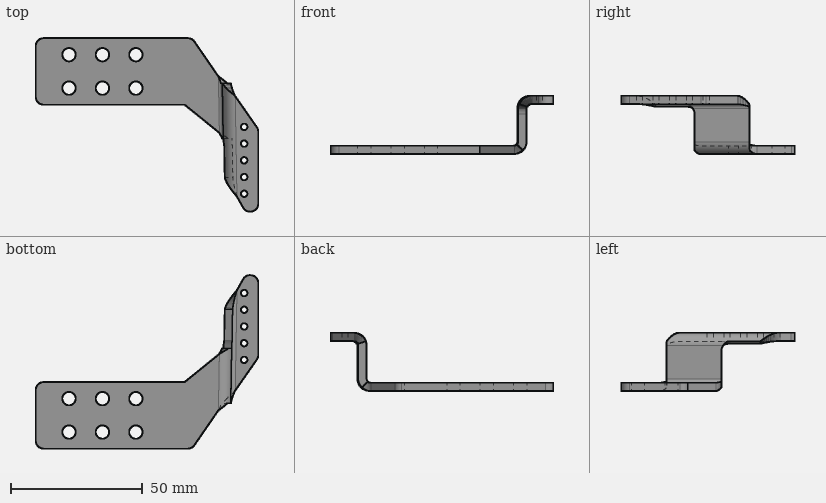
import cadquery as cq
import math

length_x = 84.7
length_y = 66.1
height = 22.2
thickness = 3.2
inner_radius = 1.5
outer_radius = thickness + inner_radius
corner_radius = 3.1

wall_x = 71.15
wall_y = 38.1
bend_tilt = 1.0
wall_front = 27.9
wall_back = 48.8
lower_bend_x = -inner_radius
upper_bend_x = outer_radius
wall_bottom = outer_radius
wall_top = height - outer_radius

base_front = 40.7
base_front_corner_x = 56.7
base_back_corner_x = 59.5
base_bend_front = 30.1
base_bend_back = 51.7
base_hole_diameter = 5.0
base_hole_pitch = 12.7
base_hole_columns = 3
base_hole_first_x = 12.7
base_hole_rows_y = (base_front + base_hole_pitch / 2, base_front + 1.5 * base_hole_pitch)

arm_bend_front = 5.8
arm_bend_back = 44.05
arm_corner_y = 31.35
tip_line_angle = 60.0
arm_hole_diameter = 2.4
arm_hole_pitch = 6.35
arm_hole_count = 5
arm_hole_x = 79.3
arm_hole_first_y = 6.9

lower_trim_angle = 45.0
relief_angle = 19.0
relief_bottom = 15.4
relief_steps = 8
twist_steps = 10
arm_front_at_relief = 13.05


def place(body):
    """Move a body from the bend frame to the part."""
    return body.rotate((0, 0, 0), (0, 0, 1), bend_tilt).translate((wall_x, wall_y, 0))


def bend_point(local_x, y):
    """Part XY of a bend-frame point whose place along the bend is y."""
    tilt = math.radians(bend_tilt)
    along = y - wall_y
    return (
        wall_x + local_x * math.cos(tilt) - along * math.sin(tilt),
        wall_y + local_x * math.sin(tilt) + along * math.cos(tilt),
    )


def base_plate():
    outline = [
        (0, base_front),
        (base_front_corner_x, base_front),
        bend_point(lower_bend_x, base_bend_front),
        bend_point(lower_bend_x, base_bend_back),
        (base_back_corner_x, length_y),
        (0, length_y),
    ]
    plate = cq.Workplane("XY").polyline(outline).close().extrude(thickness)
    plate = plate.edges("|Z and (<X or >Y)").fillet(corner_radius)
    centers = [
        (base_hole_first_x + column * base_hole_pitch, y)
        for column in range(base_hole_columns)
        for y in base_hole_rows_y
    ]
    holes = cq.Workplane("XY").pushPoints(centers).circle(base_hole_diameter / 2).extrude(thickness)
    return plate.cut(holes)


def arm_plate():
    tip_x = length_x - corner_radius
    tip_y = corner_radius
    slope = math.radians(tip_line_angle)
    tip_start = (
        tip_x - corner_radius * math.sin(slope),
        tip_y - corner_radius * math.cos(slope),
    )
    plate = (
        cq.Workplane("XY", origin=(0, 0, height - thickness))
        .moveTo(*bend_point(upper_bend_x, arm_bend_back))
        .lineTo(*bend_point(upper_bend_x, arm_bend_front))
        .lineTo(*tip_start)
        .threePointArc((tip_x, 0), (length_x, tip_y))
        .lineTo(length_x, arm_corner_y)
        .close()
        .extrude(thickness)
    )
    plate = plate.edges("|Z").edges(
        cq.selectors.NearestToPointSelector((length_x, arm_corner_y, height - thickness / 2))
    ).fillet(corner_radius)
    centers = [(arm_hole_x, arm_hole_first_y + i * arm_hole_pitch) for i in range(arm_hole_count)]
    holes = cq.Workplane("XY").pushPoints(centers).circle(arm_hole_diameter / 2).extrude(height)
    return plate.cut(holes)


def relief_edge(distance):
    """Front edge of the wall along the rounded relief, by unrolled distance from its start."""
    inside = max(corner_radius**2 - distance**2, 0)
    return wall_front - corner_radius + math.sqrt(inside)


def wall():
    relief_height = wall_top - relief_bottom
    half = relief_height / 2
    body = (
        cq.Workplane("YZ")
        .moveTo(wall_front - wall_y, wall_bottom)
        .lineTo(wall_front - wall_y, relief_bottom)
        .threePointArc(
            (relief_edge(half) - wall_y, relief_bottom + half),
            (relief_edge(relief_height) - wall_y, wall_top),
        )
        .lineTo(wall_back - wall_y, wall_top)
        .lineTo(wall_back - wall_y, wall_bottom)
        .close()
        .extrude(thickness)
    )
    return place(body)


def bend_piece(center_x, center_z, start_direction, sections):
    """Part of a bend with ruled radial edges; each section is (angle, front y, back y).

    Angles turn from start_direction: -Z toward +X for the lower bend, -X toward +Z for the upper.
    """
    r_in = inner_radius / 2
    r_out = outer_radius * 1.5
    wires = []
    for angle, front, back in sections:
        a = math.radians(angle)
        if start_direction == "-Z":
            dx, dz = math.sin(a), -math.cos(a)
        else:
            dx, dz = -math.cos(a), math.sin(a)
        corners = [(r_in, front), (r_out, front), (r_out, back), (r_in, back)]
        points = [cq.Vector(center_x + r * dx, y - wall_y, center_z + r * dz) for r, y in corners]
        wires.append(cq.Wire.makePolygon(points, close=True))
    trim = cq.Workplane(cq.Solid.makeLoft(wires, True))
    ring = (
        cq.Workplane("XZ", origin=(center_x, 0, center_z))
        .circle(outer_radius)
        .circle(inner_radius)
        .extrude(length_y, both=True)
    )
    return place(ring.intersect(trim))


def lower_bend():
    sections = [
        (0, base_bend_front, base_bend_back),
        (lower_trim_angle, wall_front, wall_back),
        (90, wall_front, wall_back),
    ]
    return bend_piece(lower_bend_x, wall_bottom, "-Z", sections)


def upper_bend():
    relief_length = corner_radius - (wall_top - relief_bottom)
    relief_sections = []
    for i in range(relief_steps + 1):
        share = math.sin(math.pi / 2 * i / relief_steps)
        distance = wall_top - relief_bottom + share * relief_length
        relief_sections.append((share * relief_angle, relief_edge(distance), wall_back))
    arm_sections = []
    for i in range(twist_steps + 1):
        share = i / twist_steps
        angle = relief_angle + share * (90 - relief_angle)
        front = arm_front_at_relief + share * (arm_bend_front - arm_front_at_relief)
        back = wall_back + share * (arm_bend_back - wall_back)
        arm_sections.append((angle, front, back))
    wall_side = bend_piece(upper_bend_x, wall_top, "-X", relief_sections)
    arm_side = bend_piece(upper_bend_x, wall_top, "-X", arm_sections)
    return wall_side.union(arm_side)


result = base_plate().union(lower_bend()).union(wall()).union(upper_bend()).union(arm_plate())